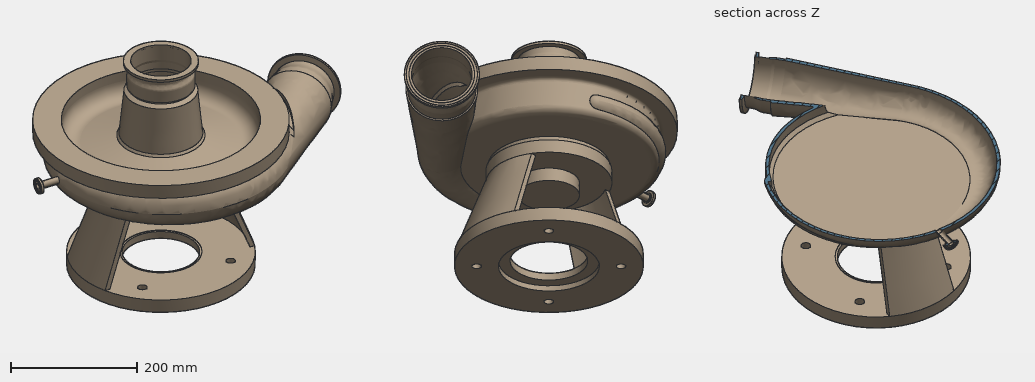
import cadquery as cq
import math

base_thickness = 23.0
stub_bottom_z = 129.0
ring_bottom_z = 151.5
ring_top_z = 174.0
casing_bottom_z = 182.0
scroll_z = 210.0
flange_bottom_z = 244.0
flange_top_z = 267.7
inlet_face_z = 376.5

base_radius = 149.8
base_lip_radius = 61.5
base_lip_recess_radius = 65.0
base_lip_recess_depth = 0.8
base_lip_bottom_depth = 13.5
base_underside_recess_radius = 80.0
bolt_circle_radius = 114.5
bolt_hole_diameter = 15.0
bolt_count = 4
ring_radius = 100.0
ring_neck_radius = 97.0
stub_radius = 48.5
leg_thickness = 8.0
leg_half_width_top = 48.4
leg_half_width_bottom = 60.0

flange_radius = 203.61
casing_radius = 175.7
casing_bottom_fillet = 13.0
neck_fillet = 6.5
wall = 6.0

dish_radius = 158.0
dish_wall_depth = 18.0
dish_fillet = 24.6
dish_slope = math.radians(12.6)

ferrule_radius = 59.6
ferrule_thickness = 4.5
pipe_radius = 50.1
pipe_end_depth = 15.7
band_radius = 54.2
inlet_band_start_depth = 25.9
inlet_band_end_depth = 45.6
groove_end_depth = 50.5
shoulder_depth = 54.5
bore_radius = 48.0
bore_wide_radius = 49.0
bore_step_depth = 28.5
bore_wide_depth = 33.0
nozzle_top_radius = 58.6
nozzle_base_radius = 66.6
nozzle_root_chamfer = 3.4

scroll_start_angle = 161.0
scroll_end_angle = 405.0
scroll_sections = 9
scroll_start_reach = 181.5
scroll_end_reach = 208.5
scroll_start_size = 17.5
scroll_end_size = 40.0
scroll_reach_exponent = 1.45

discharge_angle = 135.0
discharge_length = 248.75
discharge_offset = 170.0
discharge_collar_radius = 57.0
discharge_ferrule_back_depth = 6.5
discharge_band_start_depth = 34.0
discharge_band_end_depth = 50.0
gasket_groove_inner_radius = 52.0
gasket_groove_outer_radius = 56.5
gasket_groove_depth = 1.0
clearance_radius = 211.5
clearance_bottom_z = 236.0

drain_radius = 6.0
drain_bore_radius = 4.5
drain_flange_radius = 13.0
drain_flange_thickness = 4.5
drain_hub_radius = 8.5
drain_hub_length = 1.7
drain_groove_inner_radius = 8.5
drain_groove_outer_radius = 11.0
drain_groove_depth = 1.0
drain_z = 212.0
drain_face_y = -226.2
drain_inner_y = -170.0


def disc(radius, bottom, top):
    return cq.Workplane("XY").workplane(offset=bottom).circle(radius).extrude(top - bottom)


def frustum(bottom_radius, bottom, top_radius, top):
    return cq.Workplane(cq.Solid.makeCone(bottom_radius, top_radius, top - bottom, cq.Vector(0, 0, bottom)))


def revolved(points):
    return cq.Workplane("XZ").polyline(points).close().revolve(360, (0, 0), (0, 1))


def base():
    lip_bottom_z = base_thickness - base_lip_bottom_depth
    plate = (
        disc(base_radius, 0, base_thickness)
        .cut(disc(base_lip_radius, 0, base_thickness))
        .cut(disc(base_lip_recess_radius, base_thickness - base_lip_recess_depth, base_thickness))
        .cut(disc(base_underside_recess_radius, 0, lip_bottom_z))
    )
    return (
        plate.faces(">Z").workplane(origin=(0, 0, base_thickness))
        .polarArray(bolt_circle_radius, 180 / bolt_count, 360, bolt_count)
        .hole(bolt_hole_diameter)
    )


def legs():
    """Two segments of a conical shell, on the -Y and +Y sides."""
    outer = frustum(base_radius, base_thickness, ring_radius, ring_bottom_z)
    inner = frustum(
        base_radius - leg_thickness, base_thickness, ring_radius - leg_thickness, ring_bottom_z
    )
    outline = [
        (-leg_half_width_bottom, base_thickness),
        (leg_half_width_bottom, base_thickness),
        (leg_half_width_top, ring_bottom_z),
        (-leg_half_width_top, ring_bottom_z),
    ]
    slab = cq.Workplane("XZ").polyline(outline).close().extrude(base_radius, both=True)
    return outer.cut(inner).intersect(slab)


def bearing_ring():
    ring = disc(ring_radius, ring_bottom_z, ring_top_z)
    neck = disc(ring_neck_radius, ring_top_z, casing_bottom_z)
    stub = disc(stub_radius, stub_bottom_z, ring_bottom_z)
    return ring.union(neck).union(stub)


def casing():
    """Body with a rounded lower edge and a concave neck below the cover flange."""
    return (
        cq.Workplane("XZ")
        .moveTo(0, casing_bottom_z)
        .lineTo(casing_radius - casing_bottom_fillet, casing_bottom_z)
        .radiusArc((casing_radius, casing_bottom_z + casing_bottom_fillet), -casing_bottom_fillet)
        .lineTo(casing_radius, flange_bottom_z - neck_fillet)
        .radiusArc((casing_radius + neck_fillet, flange_bottom_z), neck_fillet)
        .lineTo(flange_radius, flange_bottom_z)
        .lineTo(flange_radius, flange_top_z)
        .lineTo(0, flange_top_z)
        .close()
        .revolve(360, (0, 0), (0, 1))
    )


def dish_floor_edge():
    """Point where the rounded dish rim meets the conical floor."""
    radius = dish_radius - dish_fillet * (1 + math.sin(dish_slope))
    height = flange_top_z - dish_wall_depth - dish_fillet * math.cos(dish_slope)
    return radius, height


def dish_floor_z(radius):
    edge_radius, edge_z = dish_floor_edge()
    return edge_z + (edge_radius - radius) * math.tan(dish_slope)


def dish():
    wall_bottom_z = flange_top_z - dish_wall_depth
    turn = (math.pi / 2 + dish_slope) / 2
    arc_middle = (
        dish_radius - dish_fillet * (1 - math.cos(turn)),
        wall_bottom_z - dish_fillet * math.sin(turn),
    )
    return (
        cq.Workplane("XZ")
        .moveTo(0, flange_top_z)
        .lineTo(dish_radius, flange_top_z)
        .lineTo(dish_radius, wall_bottom_z)
        .threePointArc(arc_middle, dish_floor_edge())
        .lineTo(0, dish_floor_z(0))
        .close()
        .revolve(360, (0, 0), (0, 1))
    )


def fitting(ferrule_back_depth, band_start_depth, end_depth):
    """Pipe end with its ferrule face at height 0, swelling smoothly to the band below."""
    return (
        cq.Workplane("XZ")
        .lineTo(ferrule_radius, 0)
        .lineTo(ferrule_radius, -ferrule_thickness)
        .lineTo(pipe_radius, -ferrule_back_depth)
        .lineTo(pipe_radius, -pipe_end_depth)
        .spline([(band_radius, -band_start_depth)], tangents=[(0, -1), (0, -1)], includeCurrent=True)
        .lineTo(band_radius, -end_depth)
        .lineTo(0, -end_depth)
        .close()
        .revolve(360, (0, 0), (0, 1))
    )


def fitting_bore(depth):
    """Bore of a pipe end, widening behind the ferrule."""
    return revolved([
        (0, 0),
        (bore_radius, 0),
        (bore_radius, -bore_step_depth),
        (bore_wide_radius, -bore_wide_depth),
        (bore_wide_radius, -depth),
        (0, -depth),
    ])


def nozzle():
    shoulder_z = inlet_face_z - shoulder_depth
    root_z = dish_floor_z(nozzle_base_radius)
    root_radius = nozzle_base_radius + nozzle_root_chamfer
    cone = revolved([
        (0, inlet_face_z - inlet_band_end_depth),
        (pipe_radius, inlet_face_z - inlet_band_end_depth),
        (pipe_radius, inlet_face_z - groove_end_depth),
        (nozzle_top_radius, shoulder_z),
        (nozzle_base_radius, root_z + nozzle_root_chamfer),
        (root_radius, dish_floor_z(root_radius)),
        (0, dish_floor_z(root_radius)),
    ])
    end = fitting(ferrule_thickness, inlet_band_start_depth, inlet_band_end_depth)
    return cone.union(end.translate((0, 0, inlet_face_z)))


def scroll(inset):
    """Spiral tube around the casing; inset shrinks every section for the flow passage."""
    wires = []
    for index in range(scroll_sections):
        fraction = index / (scroll_sections - 1)
        angle = math.radians(scroll_start_angle + fraction * (scroll_end_angle - scroll_start_angle))
        reach = scroll_start_reach + fraction**scroll_reach_exponent * (scroll_end_reach - scroll_start_reach)
        size = scroll_start_size + fraction * (scroll_end_size - scroll_start_size)
        center = cq.Vector((reach - size) * math.cos(angle), (reach - size) * math.sin(angle), scroll_z)
        travel = cq.Vector(-math.sin(angle), math.cos(angle), 0)
        wires.append(cq.Wire.makeCircle(size - inset, center, travel))
    return cq.Workplane(cq.Solid.makeLoft(wires))


def scroll_tip():
    """Rounded closed end of the scroll."""
    angle = math.radians(scroll_start_angle)
    center_radius = scroll_start_reach - scroll_start_size
    center = (center_radius * math.cos(angle), center_radius * math.sin(angle), scroll_z)
    return cq.Workplane("XY").sphere(scroll_start_size).translate(center)


def place_discharge(shape):
    """Turn a shape built along +Z, its end face at height 0, onto the discharge axis."""
    along = math.radians(discharge_angle)
    out = cq.Vector(math.cos(along), math.sin(along), 0)
    side = cq.Vector(math.sin(along), -math.cos(along), 0)
    face_center = out * discharge_length + side * discharge_offset + cq.Vector(0, 0, scroll_z)
    plane = cq.Plane(origin=face_center, xDir=side, normal=out)
    return cq.Workplane(shape.val().moved(cq.Location(plane)))


def discharge_cone(inset, collar_radius):
    start_shift = scroll_end_reach - scroll_end_size - discharge_offset
    start = cq.Wire.makeCircle(
        scroll_end_size - inset, cq.Vector(start_shift, 0, -discharge_length), cq.Vector(0, 0, 1)
    )
    collar = cq.Wire.makeCircle(collar_radius, cq.Vector(0, 0, -discharge_band_end_depth), cq.Vector(0, 0, 1))
    return cq.Workplane(cq.Solid.makeLoft([start, collar], True))


def discharge_end():
    """Discharge pipe end with a gasket groove in the ferrule face."""
    end = fitting(discharge_ferrule_back_depth, discharge_band_start_depth, discharge_band_end_depth)
    groove = disc(gasket_groove_outer_radius, -gasket_groove_depth, 0)
    groove = groove.cut(disc(gasket_groove_inner_radius, -gasket_groove_depth, 0))
    return end.cut(groove)


def flange_clearance():
    """V-bottomed groove that keeps the discharge pipe clear of the cover flange."""
    return revolved([
        (flange_radius, flange_bottom_z),
        (clearance_radius, clearance_bottom_z),
        (clearance_radius, inlet_face_z),
        (flange_radius, inlet_face_z),
    ]).union(disc(flange_radius, flange_top_z, inlet_face_z))


def cover_shell():
    """Space around the dish that the flow passages must not enter."""
    edge_z = dish_floor_edge()[1]
    return disc(dish_radius + wall, edge_z - wall, flange_top_z)


def impeller_chamber():
    edge_radius, edge_z = dish_floor_edge()
    chamber_radius = casing_radius - wall
    return revolved([
        (0, casing_bottom_z + wall),
        (chamber_radius - wall, casing_bottom_z + wall),
        (chamber_radius, casing_bottom_z + 2 * wall),
        (chamber_radius, edge_z - wall),
        (edge_radius, edge_z - wall),
        (0, dish_floor_z(0) - wall),
    ])


def drain_disc(radius, start_depth, length):
    """Cylinder on the drain axis, starting at a depth behind the drain face."""
    plane = cq.Workplane("XZ", origin=(0, drain_face_y + start_depth, drain_z))
    return plane.circle(radius).extrude(-length)


def drain():
    tube = drain_disc(drain_radius, 0, drain_inner_y - drain_face_y)
    flange = drain_disc(drain_flange_radius, 0, drain_flange_thickness)
    hub = drain_disc(drain_hub_radius, drain_flange_thickness, drain_hub_length)
    groove = drain_disc(drain_groove_outer_radius, 0, drain_groove_depth)
    groove = groove.cut(drain_disc(drain_groove_inner_radius, 0, drain_groove_depth))
    return tube.union(flange).union(hub).cut(groove)


def drain_bore():
    return drain_disc(drain_bore_radius, 0, drain_inner_y - drain_face_y)


discharge = place_discharge(discharge_cone(0, discharge_collar_radius))
volute = scroll(0).union(scroll_tip()).union(discharge).cut(flange_clearance())

result = volute.union(casing()).cut(dish()).union(nozzle())
result = result.union(place_discharge(discharge_end())).union(drain())
result = result.union(bearing_ring()).union(legs()).union(base())

inlet_depth = inlet_face_z - casing_bottom_z - wall
inlet_passage = fitting_bore(inlet_depth).translate((0, 0, inlet_face_z))
discharge_passage = place_discharge(discharge_cone(wall, bore_wide_radius))
result = result.cut(impeller_chamber())
result = result.cut(scroll(wall).cut(cover_shell()))
result = result.cut(discharge_passage.cut(cover_shell()))
result = result.cut(place_discharge(fitting_bore(discharge_band_end_depth)))
result = result.cut(inlet_passage)
result = result.cut(drain_bore())